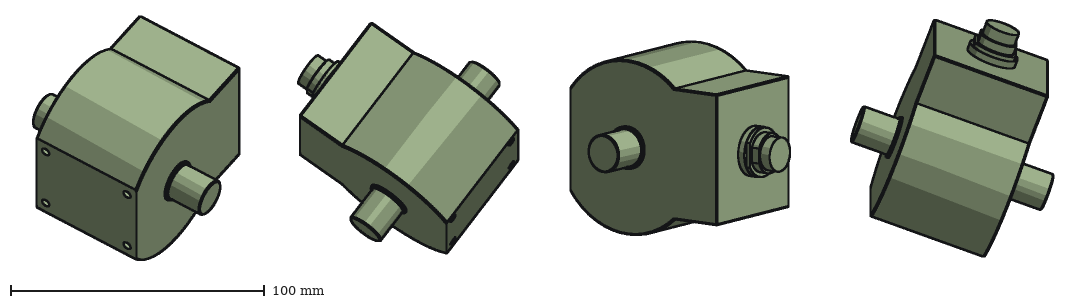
import cadquery as cq
import math

overall_length = 85.1
body_width = 48.0
drum_diameter = 70.0
box_height = 52.6
front_distance = 28.0
edge_chamfer = 0.5

shaft_length = 80.0
shaft_diameter = 15.0
shaft_chamfer = 0.4
collar_diameter = 17.0
collar_length = 0.5
outer_collar_diameter = 16.5
outer_collar_length = 0.5

hole_diameter = 3.4
hole_depth = 8.0
hole_tip_angle = 118.0
hole_spacing_x = 39.0
hole_spacing_z = 31.0

connector_sections = [
    (3.0, 20.0, None),
    (1.9, 19.75, 17.0),
    (3.6, 16.0, 14.8),
    (4.7, 13.6, None),
]

drum_radius = drum_diameter / 2
connector_length = sum(length for length, _, _ in connector_sections)
back_distance = overall_length - front_distance - connector_length


def make_housing():
    """Chamfer the side and back edges of the full outline, then cut the flat front."""
    half_box = box_height / 2
    box_start = math.sqrt(drum_radius**2 - half_box**2)
    housing = (
        cq.Workplane("YZ")
        .moveTo(box_start, -half_box)
        .lineTo(back_distance, -half_box)
        .lineTo(back_distance, half_box)
        .lineTo(box_start, half_box)
        .threePointArc((-drum_radius, 0), (box_start, -half_box))
        .close()
        .extrude(body_width / 2, both=True)
    )
    housing = housing.faces("<X or >X or >Y").chamfer(edge_chamfer)
    removed_front = cq.Workplane("XZ", origin=(0, -front_distance, 0)).rect(body_width, drum_diameter)
    return housing.cut(removed_front.extrude(drum_radius))


def cylinder_along_x(diameter, length):
    """Cylinder centred on the origin."""
    return cq.Workplane("YZ").circle(diameter / 2).extrude(length / 2, both=True)


def make_connector():
    """Stack the stepped sections behind the housing, with flats facing -X and +X."""
    connector = cq.Workplane("XY")
    start = back_distance
    for length, diameter, flat_width in connector_sections:
        section = cq.Workplane("XZ", origin=(0, start, 0)).circle(diameter / 2).extrude(-length)
        if flat_width:
            flats = cq.Workplane("XZ", origin=(0, start, 0)).rect(flat_width, diameter).extrude(-length)
            section = section.intersect(flats)
        connector = connector.add(section)
        start += length
    return connector.combine()


def make_front_holes():
    """Four drilled holes with conical bottoms, opening in the front face."""
    radius = hole_diameter / 2
    tip_length = radius / math.tan(math.radians(hole_tip_angle / 2))
    drill = (
        cq.Workplane("XY")
        .polyline([(0, 0), (radius, 0), (radius, hole_depth), (0, hole_depth + tip_length)])
        .close()
        .revolve(360, (0, 0), (0, 1))
    )
    holes = cq.Workplane("XY")
    for side in (-1, 1):
        for level in (-1, 1):
            position = (side * hole_spacing_x / 2, -front_distance, level * hole_spacing_z / 2)
            holes = holes.add(drill.translate(position))
    return holes.combine()


shaft = cylinder_along_x(shaft_diameter, shaft_length).faces("<X or >X").chamfer(shaft_chamfer)
collar_span = body_width + 2 * collar_length
collars = cylinder_along_x(collar_diameter, collar_span)
outer_collars = cylinder_along_x(outer_collar_diameter, collar_span + 2 * outer_collar_length)

result = (
    make_housing()
    .union(collars)
    .union(outer_collars)
    .union(shaft)
    .union(make_connector())
    .cut(make_front_holes())
)